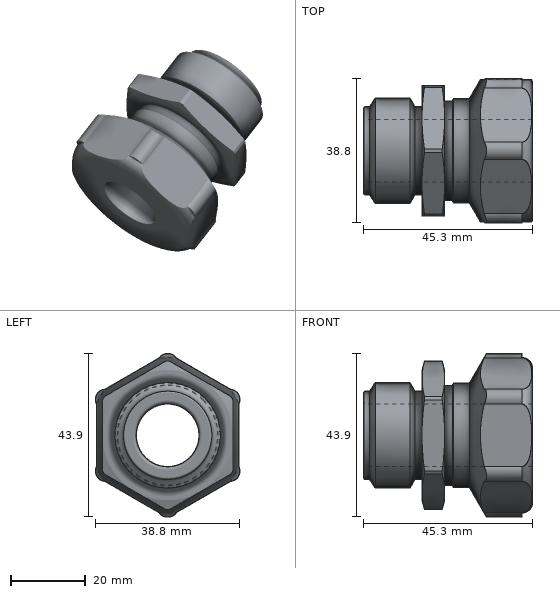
import cadquery as cq
import math

total_length = 45.3
bore_radius = 16.77 / 2
bore_mouth_fillet = 1.0

pilot_radius = 23.7 / 2
pilot_length = 1.6
pilot_fillet = 0.5
thread_radius = 28.3 / 2
thread_start = 3.1
thread_end = 12.4
run_out_angle = math.radians(60)

flange_start = 15.65
flange_end = 21.7
flange_across_flats = 35.0
flange_corner_radius = 39.84 / 2
flange_chamfer_angle = math.radians(15)

neck_radius = 26.8 / 2

nut_start = 23.8
collar_radius = 28.0 / 2
collar_mouth_radius = 27.0 / 2
collar_chamfer_angle = math.radians(30)
cone_start = 28.35
cone_angle = math.radians(60)
nut_across_flats = 38.2
nut_reach = 43.88 / 2
bead_radius = 2.8
bead_end = 42.4

hexagon_sides = 6
hexagon_half_angle = math.pi / hexagon_sides

bead_centre_radius = nut_reach - bead_radius
end_round = total_length - bead_end
flat_to_bead = nut_across_flats / 2 - bead_centre_radius * math.cos(hexagon_half_angle)
bead_half_chord = math.sqrt(bead_radius**2 - flat_to_bead**2)
flat_half_width = bead_centre_radius * math.sin(hexagon_half_angle) - bead_half_chord
nut_end_radius = math.hypot(nut_across_flats / 2, flat_half_width)


def hexagon_bar(across_flats, start, end):
    """Hexagonal bar along X with corners pointing up and down Z."""
    across_corners = across_flats / math.cos(hexagon_half_angle)
    return (
        cq.Workplane("YZ", origin=(start, 0, 0))
        .transformed(rotate=(0, 0, 90))
        .polygon(hexagon_sides, across_corners)
        .extrude(end - start)
    )


def turn(profile):
    """Revolve an (X, radius) profile around the X axis."""
    return profile.close().revolve(360, (0, 0, 0), (1, 0, 0))


def cylinder(radius, start, end):
    return cq.Workplane("YZ", origin=(start, 0, 0)).circle(radius).extrude(end - start)


def make_threaded_end():
    run_out_length = (thread_radius - pilot_radius) / math.tan(run_out_angle)
    outline = (
        cq.Workplane("XY")
        .lineTo(0, pilot_radius)
        .lineTo(pilot_length, pilot_radius)
        .lineTo(thread_start, thread_radius)
        .lineTo(thread_end, thread_radius)
        .lineTo(thread_end + run_out_length, pilot_radius)
        .lineTo(flange_start, pilot_radius)
        .lineTo(flange_start, 0)
    )
    return turn(outline).faces("<X").edges().fillet(pilot_fillet)


def make_flange():
    face_radius = flange_across_flats / 2
    chamfer_length = (flange_corner_radius - face_radius) * math.tan(flange_chamfer_angle)
    envelope = (
        cq.Workplane("XY")
        .moveTo(flange_start, 0)
        .lineTo(flange_start, face_radius)
        .lineTo(flange_start + chamfer_length, flange_corner_radius)
        .lineTo(flange_end - chamfer_length, flange_corner_radius)
        .lineTo(flange_end, face_radius)
        .lineTo(flange_end, 0)
    )
    return hexagon_bar(flange_across_flats, flange_start, flange_end).intersect(turn(envelope))


def make_neck():
    return cylinder(neck_radius, flange_end, nut_start)


def make_nut_blank():
    """Hexagonal bar with trimmed corners, each covered by a rounded bead up to the end rounding."""
    blank = hexagon_bar(nut_across_flats, nut_start, total_length)
    beads = (
        cq.Workplane("YZ", origin=(nut_start, 0, 0))
        .polarArray(bead_centre_radius, 90, 360, hexagon_sides)
        .circle(bead_radius)
        .extrude(bead_end - nut_start)
    )
    corner_trim = cylinder(nut_end_radius, nut_start, total_length)
    return blank.intersect(corner_trim).union(beads)


def make_nut():
    collar_chamfer_length = (collar_radius - collar_mouth_radius) * math.tan(collar_chamfer_angle)
    cone_end = cone_start + (nut_reach - collar_radius) / math.tan(cone_angle)
    arc_offset = end_round * math.cos(math.pi / 4)
    arc_centre_radius = nut_end_radius - end_round
    envelope = (
        cq.Workplane("XY")
        .moveTo(nut_start, 0)
        .lineTo(nut_start, collar_mouth_radius)
        .lineTo(nut_start + collar_chamfer_length, collar_radius)
        .lineTo(cone_start, collar_radius)
        .lineTo(cone_end, nut_reach)
        .lineTo(bead_end, nut_reach)
        .lineTo(bead_end, nut_end_radius)
        .threePointArc(
            (bead_end + arc_offset, arc_centre_radius + arc_offset),
            (total_length, arc_centre_radius),
        )
        .lineTo(total_length, 0)
    )
    return make_nut_blank().intersect(turn(envelope))


def cut_bore(body):
    bored = body.cut(cylinder(bore_radius, 0, total_length))
    mouth = cq.selectors.RadiusNthSelector(0)
    return bored.faces("<X").edges(mouth).fillet(bore_mouth_fillet)


body = make_threaded_end().union(make_flange()).union(make_neck()).union(make_nut())
result = cut_bore(body)